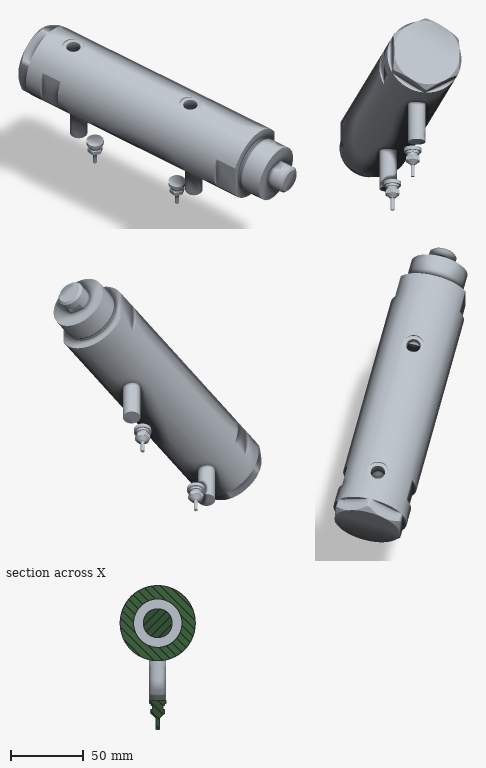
import cadquery as cq
import math

barrel_diameter = 52.0
barrel_radius = barrel_diameter / 2
across_flats = 45.9
bore_radius = 16.5

hex_length = 8.8
flange_end = 11.1
cap_chamfer = 3.0
spigot_radius = bore_radius
spigot_end = 34.0

tube_end = 168.7
tube_flat_start = 20.8
tube_flat_length = 15.0
port_positions = [30.2, 129.7]
port_radius = 5.0
spotface_radius = 7.5
spotface_depth = 1.0
stub_positions = [34.7, 132.7]
stub_radius = 6.0
stub_end_z = -53.0

head_end = 184.5
plug_start = 132.5
plug_radius = 21.0
rod_radius = 10.0

neck_radius = 19.3
neck_length = 0.9
groove_radius = 18.7
nut_start = 187.2
nut_radius = 20.0
nut_chamfer = 0.6
nut_end = 202.6
shank_radius = 9.55
shank_across_flats = 16.5
shank_flat_end = 208.2
shank_chamfer = 1.5
overall_length = 214.5

pin_positions = [48.7, 118.3]
pin_top_z = stub_end_z
pin_disc_radius = stub_radius
pin_disc_height = 2.5
pin_step_radius = 4.7
pin_step_height = 1.5
pin_neck_radius = 3.9
pin_neck_height = 2.4
pin_hex_across_corners = 10.7
pin_hex_height = 3.0
pin_hex_turn = -10
pin_hex_chamfer = 0.5
pin_cone_top_radius = 4.5
pin_cone_bottom_radius = 1.7
pin_cone_height = 2.5
pin_stem_radius = 1.3
overall_height = 99.5
pin_bottom_z = barrel_radius - overall_height


def rod_x(radius, start, end):
    """Cylinder on the X axis between two x values."""
    return cq.Workplane("YZ", origin=(start, 0, 0)).circle(radius).extrude(end - start)


def rod_z(radius, x, top, bottom):
    """Vertical cylinder at a given x between two heights."""
    return cq.Workplane("XY", origin=(x, 0, bottom)).circle(radius).extrude(top - bottom)


def flat_slab(start, end, width_y, width_z):
    """Block centred on the X axis, used to trim opposite flats."""
    return cq.Workplane("YZ", origin=(start, 0, 0)).rect(width_y, width_z).extrude(end - start)


def make_cap():
    across_corners = across_flats / math.cos(math.pi / 6)
    hexagon = (
        cq.Workplane("YZ")
        .transformed(rotate=(0, 0, 90))
        .polygon(6, across_corners)
        .extrude(hex_length)
    )
    chamfered_blank = rod_x(barrel_radius, 0, hex_length).faces("<X").chamfer(cap_chamfer)
    flange = rod_x(barrel_radius, hex_length, flange_end)
    spigot = rod_x(spigot_radius, flange_end, spigot_end)
    return hexagon.intersect(chamfered_blank).union(flange).union(spigot)


def make_tube():
    tube = rod_x(barrel_radius, flange_end, tube_end)
    for x in stub_positions:
        tube = tube.union(rod_z(stub_radius, x, 0, stub_end_z))
    tube = tube.cut(rod_x(bore_radius, flange_end, plug_start))
    tube = tube.cut(rod_x(plug_radius, plug_start, tube_end))

    flat_end = tube_flat_start + tube_flat_length
    surround = rod_x(barrel_diameter, tube_flat_start, flat_end)
    slab = flat_slab(tube_flat_start, flat_end, across_flats, 2 * barrel_diameter)
    tube = tube.cut(surround.cut(slab))

    spotface_z = barrel_radius - spotface_depth
    for x in port_positions:
        tube = tube.cut(rod_z(spotface_radius, x, barrel_radius, spotface_z))
        tube = tube.cut(rod_z(port_radius, x, barrel_radius, 0))
    return tube


def make_head():
    collar = rod_x(barrel_radius, tube_end, head_end).intersect(
        flat_slab(tube_end, head_end, across_flats, barrel_diameter)
    )
    plug = rod_x(plug_radius, plug_start, tube_end)
    rod = rod_x(rod_radius, spigot_end, plug_start)
    return collar.union(plug).union(rod)


def make_connector():
    neck_end = head_end + neck_length
    neck = rod_x(neck_radius, head_end, neck_end)
    groove = rod_x(groove_radius, neck_end, nut_start)
    nut = rod_x(nut_radius, nut_start, nut_end).faces("<X").chamfer(nut_chamfer)
    shank_base = rod_x(shank_radius, nut_end, shank_flat_end).intersect(
        flat_slab(nut_end, shank_flat_end, 2 * shank_radius, shank_across_flats)
    )
    shank_tip = rod_x(shank_radius, shank_flat_end, overall_length).faces(">X").chamfer(shank_chamfer)
    return neck.union(groove).union(nut).union(shank_base).union(shank_tip)


def make_pin(x):
    step_top = pin_top_z - pin_disc_height
    neck_top = step_top - pin_step_height
    hex_top = neck_top - pin_neck_height
    cone_top = hex_top - pin_hex_height
    stem_top = cone_top - pin_cone_height

    disc = rod_z(pin_disc_radius, x, pin_top_z, step_top)
    step = rod_z(pin_step_radius, x, step_top, neck_top)
    neck = rod_z(pin_neck_radius, x, neck_top, hex_top)
    hexagon = (
        cq.Workplane("XY", origin=(x, 0, cone_top))
        .transformed(rotate=(0, 0, pin_hex_turn))
        .polygon(6, pin_hex_across_corners)
        .extrude(pin_hex_height)
    )
    hexagon = hexagon.intersect(
        rod_z(pin_hex_across_corners / 2, x, hex_top, cone_top).edges().chamfer(pin_hex_chamfer)
    )
    cone = (
        cq.Workplane("XY", origin=(x, 0, cone_top))
        .circle(pin_cone_top_radius)
        .workplane(offset=-pin_cone_height)
        .circle(pin_cone_bottom_radius)
        .loft()
    )
    stem = rod_z(pin_stem_radius, x, stem_top, pin_bottom_z)
    return disc.union(step).union(neck).union(hexagon).union(cone).union(stem)


cap = make_cap()
tube = make_tube()
head = make_head()
connector = make_connector()
pins = [make_pin(x) for x in pin_positions]

result = cq.Compound.makeCompound(
    [cap.val(), tube.val(), head.val(), connector.val(), *[pin.val() for pin in pins]]
)